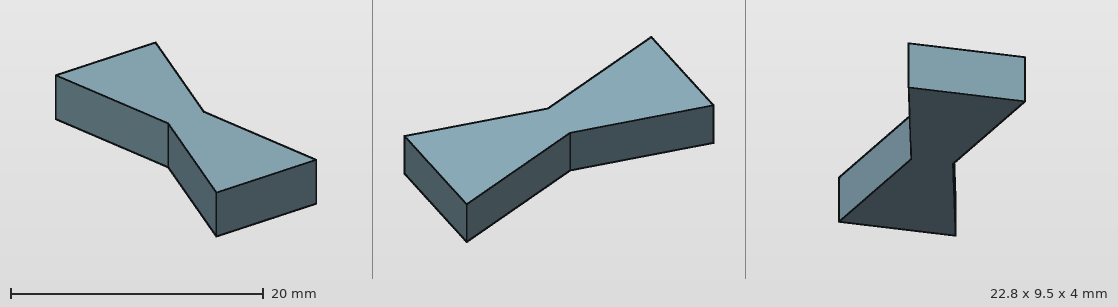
import cadquery as cq

length = 22.8
end_width = 9.5
waist_width = 3.4
thickness = 4.0

half_length = length / 2
half_end = end_width / 2
half_waist = waist_width / 2

outline = [
    (-half_length, -half_end),
    (0, -half_waist),
    (half_length, -half_end),
    (half_length, half_end),
    (0, half_waist),
    (-half_length, half_end),
]

result = cq.Workplane("XY").polyline(outline).close().extrude(thickness)